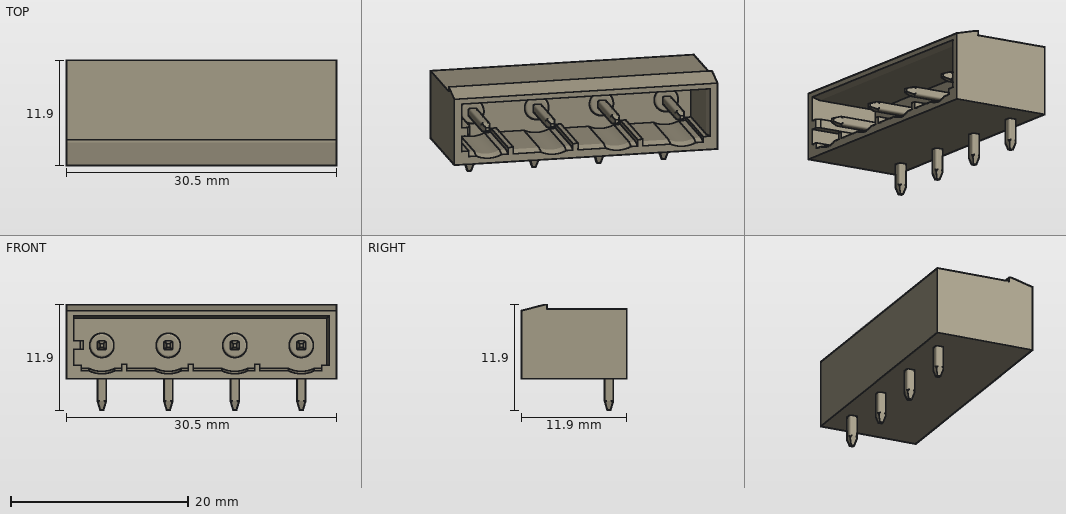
import cadquery as cq

length = 30.5
depth = 11.9
overall_height = 11.9
roof_z = 7.9
ridge_z = 8.4
front_edge_z = 7.72
ridge_front_y = 2.6
ridge_rear_y = 2.9

contact_count = 4
pitch = 7.5
contact_xs = [length / 2 + (i - (contact_count - 1) / 2) * pitch for i in range(contact_count)]

cavity_depth = 8.55
left_wall = 0.85
right_wall = 1.1
ceiling_z = 6.85
mouth_flare = 0.25
mouth_depth = 1.0

ledge_width = 1.68
ledge_z = 1.55
floor_z = 1.2
floor_drop = 0.27
scallop_width = 2.93
scallop_sag = 0.35

rib_width = 0.6
rib_top_z = 1.68
rib_offset = 2.53

key_bottom_z = 3.32
key_top_z = 4.33
key_front_x = 1.55
key_tip_x = 1.9
key_taper_depth = 0.5

pin_size = 1.0
pin_edge_radius = 0.25
pin_z = 3.78
pin_front_y = 0.67
pin_down_y = 9.88
pin_bottom_z = ridge_z - overall_height
tip_size = 0.4
tip_length = 1.05

collar_diameter = 2.75
collar_height = 0.5
collar_edge_radius = 0.27


def box(x0, x1, y0, y1, z0, z1):
    return cq.Workplane("XY").box(x1 - x0, y1 - y0, z1 - z0, centered=False).translate((x0, y0, z0))


def make_housing():
    return (
        cq.Workplane("YZ")
        .polyline([
            (0, 0),
            (depth, 0),
            (depth, roof_z),
            (ridge_rear_y, roof_z),
            (ridge_rear_y, ridge_z),
            (ridge_front_y, ridge_z),
            (0, front_edge_z),
        ])
        .close()
        .extrude(length)
    )


def room_wire(y, flare):
    """Rectangle of the cavity above the ledges, widened at the right and the ceiling by flare."""
    right = length - right_wall + flare
    corners = [
        (left_wall, y, ledge_z),
        (right, y, ledge_z),
        (right, y, ceiling_z + flare),
        (left_wall, y, ceiling_z + flare),
    ]
    return cq.Wire.makePolygon([cq.Vector(*corner) for corner in corners], close=True)


def make_room():
    straight = box(left_wall, length - right_wall, 0, cavity_depth, ledge_z, ceiling_z)
    flared = cq.Solid.makeLoft([room_wire(0, mouth_flare), room_wire(mouth_depth, 0)], True)
    return straight.union(cq.Workplane(obj=flared))


def make_floor_channel():
    """Scalloped channel below the room; its floor ramps down towards the mouth."""
    channel_top_z = ledge_z + floor_drop
    outline = cq.Workplane("XZ").moveTo(ledge_width, channel_top_z).lineTo(ledge_width, floor_z)
    for x in contact_xs:
        outline = (
            outline.lineTo(x - scallop_width / 2, floor_z)
            .threePointArc((x, floor_z - scallop_sag), (x + scallop_width / 2, floor_z))
        )
    outline = (
        outline.lineTo(length - ledge_width, floor_z)
        .lineTo(length - ledge_width, channel_top_z)
        .close()
    )
    section = cq.Face.makeFromWires(outline.wires().val())
    straight = cq.Solid.extrudeLinear(section, cq.Vector(0, cavity_depth, 0))
    ramp_section = section.translate(cq.Vector(0, mouth_depth, 0))
    ramp = cq.Solid.extrudeLinear(ramp_section, cq.Vector(0, -mouth_depth, -floor_drop))
    return cq.Workplane(obj=straight).union(cq.Workplane(obj=ramp))


def make_rib(contact_x):
    x = contact_x + rib_offset
    return box(x - rib_width / 2, x + rib_width / 2, 0, cavity_depth, 0, rib_top_z)


def make_key():
    return (
        cq.Workplane("XY", origin=(0, 0, key_bottom_z))
        .polyline([
            (0, 0),
            (key_front_x, 0),
            (key_tip_x, key_taper_depth),
            (key_tip_x, cavity_depth),
            (0, cavity_depth),
        ])
        .close()
        .extrude(key_top_z - key_bottom_z)
    )


def make_pin_leg(leg_length):
    """Rounded square wire along +Z, with a pyramid tip ending at leg_length."""
    wire = (
        cq.Workplane("XY")
        .rect(pin_size, pin_size)
        .extrude(leg_length)
        .edges("|Z")
        .fillet(pin_edge_radius)
    )
    shank_length = leg_length - tip_length
    envelope = (
        cq.Workplane("XY")
        .rect(pin_size, pin_size)
        .extrude(shank_length)
        .faces(">Z")
        .workplane()
        .rect(pin_size, pin_size)
        .workplane(offset=tip_length)
        .rect(tip_size, tip_size)
        .loft(ruled=True)
    )
    return wire.intersect(envelope)


def make_contact(x):
    bend = (x, pin_down_y, pin_z)
    mating_leg = (
        make_pin_leg(pin_down_y - pin_front_y)
        .rotate((0, 0, 0), (1, 0, 0), 90)
        .translate(bend)
    )
    solder_leg = (
        make_pin_leg(pin_z - pin_bottom_z)
        .rotate((0, 0, 0), (1, 0, 0), 180)
        .translate(bend)
    )
    collar = (
        cq.Workplane("XZ", origin=(x, cavity_depth, pin_z))
        .circle(collar_diameter / 2)
        .extrude(collar_height)
        .faces("<Y")
        .edges()
        .fillet(collar_edge_radius)
    )
    return mating_leg.union(solder_leg).union(collar)


result = make_housing().cut(make_room()).cut(make_floor_channel()).union(make_key())
for contact_x in contact_xs[:-1]:
    result = result.union(make_rib(contact_x))
for contact_x in contact_xs:
    result = result.union(make_contact(contact_x))